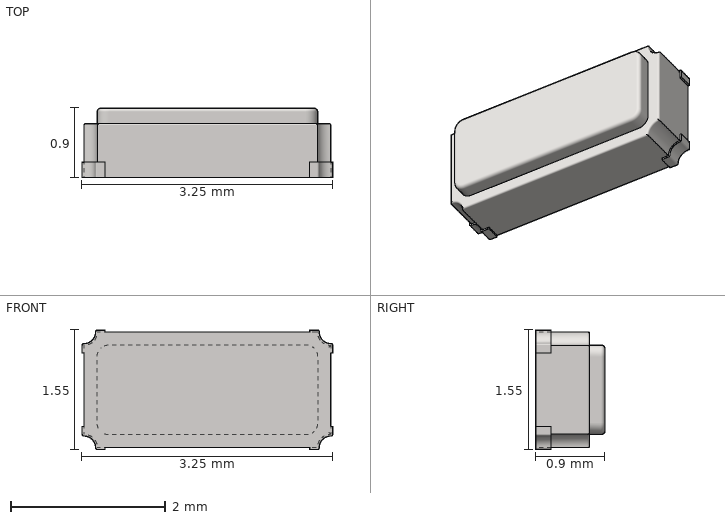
import cadquery as cq
import math

overall_length = 3.25
overall_width = 1.55
overall_height = 0.9
plating = 0.025
body_length = overall_length - 2 * plating
body_width = overall_width - 2 * plating
lid_height = 0.2
body_height = overall_height - lid_height
notch_radius = 0.175
body_edge_round = 0.025

lid_inset = 0.17
lid_length = body_length - 2 * lid_inset
lid_width = body_width - 2 * lid_inset
lid_corner_radius = 0.15
lid_edge_round = 0.05

terminal_height = 0.2
terminal_reach = 0.3


def plan():
    """Workplane on the mounting face: local x is X, local y is Z, and the normal is -Y."""
    return cq.Workplane(cq.Plane(origin=(0, 0, 0), xDir=(1, 0, 0), normal=(0, -1, 0)))


def prism(outline, start, height):
    """Extrude a plan outline from Y = start to Y = start + height."""
    return outline.extrude(-height).translate((0, start, 0))


def make_body():
    """Block with a quarter-round notch down each corner and a rounded edge at the lid end."""
    block = prism(plan().rect(body_length, body_width), 0, body_height)
    corners = plan().rect(body_length, body_width, forConstruction=True).vertices()
    notches = prism(corners.circle(notch_radius), 0, body_height)
    return block.cut(notches).faces(">Y").edges().fillet(body_edge_round)


def make_lid():
    """Rounded rectangular lid with a softened outer rim."""
    lid = prism(plan().rect(lid_length, lid_width), body_height, lid_height)
    lid = lid.edges("|Y").fillet(lid_corner_radius)
    return lid.faces(">Y").edges().fillet(lid_edge_round)


def make_terminal():
    """Plating at the +X +Z corner, wrapping the notch and a short stretch of both sides."""
    corner_x = body_length / 2
    corner_z = body_width / 2
    outer_x = overall_length / 2
    outer_z = overall_width / 2
    inner_x = outer_x - terminal_reach
    inner_z = outer_z - terminal_reach
    notch_x = corner_x - notch_radius
    notch_z = corner_z - notch_radius
    lining_radius = notch_radius - plating
    sin_45 = math.sqrt(0.5)
    lining_offset = lining_radius * sin_45
    lip_offset = plating * sin_45
    outline = (
        plan()
        .moveTo(inner_x, inner_z)
        .lineTo(outer_x, inner_z)
        .lineTo(outer_x, notch_z)
        .threePointArc((corner_x + lip_offset, notch_z + lip_offset), (corner_x, notch_z + plating))
        .threePointArc((corner_x - lining_offset, corner_z - lining_offset), (notch_x + plating, corner_z))
        .threePointArc((notch_x + lip_offset, corner_z + lip_offset), (notch_x, outer_z))
        .lineTo(inner_x, outer_z)
        .close()
    )
    return prism(outline, 0, terminal_height)


def add_terminals(part):
    """Mirror the terminal onto all four corners."""
    terminal = make_terminal()
    pair = terminal.union(terminal.mirror("YZ"))
    return part.union(pair).union(pair.mirror("XY"))


result = add_terminals(make_body().union(make_lid()))